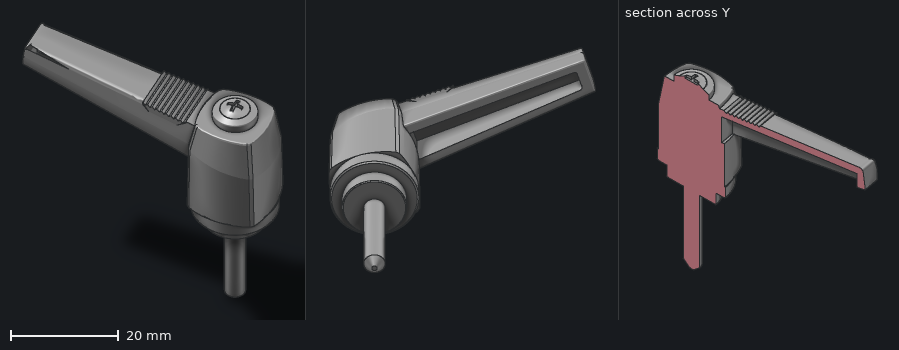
import cadquery as cq
import math

OVERLAP = 0.5

STUD_D, STUD_LENGTH = 4.0, 20.0
STUD_TIP_D = 1.0
SPACER_D, SPACER_HEIGHT = 12.0, 3.0
SPACER_CHAMFER = 0.2
FLANGE_D, FLANGE_HEIGHT = 16.5, 3.0
FLANGE_CHAMFER = 0.3

HUB_BASE_Z = SPACER_HEIGHT + FLANGE_HEIGHT
PARTING_Z, PARTING_TILT = 19.25, 12.1
HUB_TOP_Z, HUB_TOP_TILT = 25.85, 1.9
HUB_TOP_FILLET = 0.5
HUB_BASE = dict(bulge=(8.05, FLANGE_D / 2), corner_y=(6.25, 6.95), corner_x=(6.85, 6.4))
HUB_PARTING = dict(bulge=(8.0, FLANGE_D / 2), corner_y=(6.05, 6.9), corner_x=(6.6, 6.3))
HUB_TOP = dict(bulge=(6.6, 6.6), corner_y=(5.1, 5.8), corner_x=(5.7, 5.2))

CAP_D, CAP_RIM_Z, CAP_CONE_Z = 8.5, 27.3, 27.9
CAP_EDGE_RADIUS = 0.3
SCREW_HOLE_D, SCREW_HEAD_D = 5.7, 5.6
SCREW_GAP_DEPTH = 0.4
SCREW_TOP_Z = 28.92
CROSS_LENGTH, CROSS_WIDTH, CROSS_DEPTH = 3.0, 0.65, 0.8

HANDLE_TOP_Z, HANDLE_TOP_TILT = 24.23, 9.13
HANDLE_BOTTOM_Z, HANDLE_BOTTOM_TILT = 15.05, 14.2
HANDLE_ROOT_X = -5.0
HANDLE_REACH = 41.93
HANDLE_END_LEAN = 0.65
HANDLE_END_X = -HANDLE_REACH
HANDLE_END_TOP_X = HANDLE_END_X + HANDLE_END_LEAN
TOP_HALF_WIDTHS = (3.55, 4.85)
PARTING_HALF_WIDTHS = (3.95, 5.6)
BOTTOM_HALF_WIDTHS = (3.65, 5.15)
HANDLE_END_FILLET = 0.4
HANDLE_TOP_FILLET = 0.9
HANDLE_BOTTOM_FILLET = 0.4

CHANNEL_START_X = -39.8
CHANNEL_BACK_X = -7.3
CHANNEL_START_HALF_WIDTH, CHANNEL_BACK_HALF_WIDTH = 2.05, 3.05
CHANNEL_CORNER_RADIUS = 0.6
ROOF_THICKNESS = 2.0

TOOTH_COUNT, TOOTH_PITCH, TOOTH_HEIGHT = 8, 0.98, 0.5
PAD_START_X = -16.7
PAD_END_X = -7.7
FIRST_VALLEY_X = -16.2
PAD_SIDE_HEIGHT = 1.7
PAD_START_RUN, PAD_START_DROP = 1.25, 0.5
PAD_END_RUN = 1.9
PAD_START_HALF_WIDTH, PAD_END_HALF_WIDTH = 4.7, 5.02


def height_on_plane(x, axis_z, tilt):
    """Height at x of a plane that crosses the stud axis at axis_z and falls towards +X."""
    return axis_z - x * math.tan(math.radians(tilt))


def handle_top(x):
    return height_on_plane(x, HANDLE_TOP_Z, HANDLE_TOP_TILT)


def handle_bottom(x):
    return height_on_plane(x, HANDLE_BOTTOM_Z, HANDLE_BOTTOM_TILT)


def hub_section(size, axis_z, tilt):
    """Closed outline of four bulged sides and four corner bevels on a tilted plane."""
    def point(x, y):
        return cq.Vector(x, y, height_on_plane(x, axis_z, tilt))

    bulge_x, bulge_y = size["bulge"]
    ax, ay = size["corner_y"]
    bx, by = size["corner_x"]
    right = (point(bx, -by), point(bulge_x, 0), point(bx, by))
    back = (point(ax, ay), point(0, bulge_y), point(-ax, ay))
    left = (point(-bx, by), point(-bulge_x, 0), point(-bx, -by))
    front = (point(-ax, -ay), point(0, -bulge_y), point(ax, -ay))
    sides = [right, back, left, front]
    edges = []
    for i, side in enumerate(sides):
        next_side = sides[(i + 1) % len(sides)]
        edges.append(cq.Edge.makeThreePointArc(*side))
        edges.append(cq.Edge.makeLine(side[2], next_side[0]))
    return cq.Wire.assembleEdges(edges)


def make_hub():
    sections = [
        hub_section(HUB_BASE, HUB_BASE_Z, 0),
        hub_section(HUB_PARTING, PARTING_Z, PARTING_TILT),
        hub_section(HUB_TOP, HUB_TOP_Z, HUB_TOP_TILT),
    ]
    hub = cq.Workplane(cq.Solid.makeLoft(sections, True))
    return hub.faces(">Z").edges().fillet(HUB_TOP_FILLET)


def make_base():
    """Flange, spacer ring and stud with its pointed tip."""
    flange = (
        cq.Workplane().workplane(offset=SPACER_HEIGHT)
        .circle(FLANGE_D / 2).extrude(FLANGE_HEIGHT)
        .faces("<Z").edges().chamfer(FLANGE_CHAMFER)
    )
    spacer = (
        cq.Workplane().circle(SPACER_D / 2).extrude(SPACER_HEIGHT)
        .faces("<Z").edges().chamfer(SPACER_CHAMFER)
    )
    stud = (
        cq.Workplane().workplane(offset=OVERLAP)
        .circle(STUD_D / 2).extrude(-STUD_LENGTH - OVERLAP)
        .faces("<Z").edges().chamfer((STUD_D - STUD_TIP_D) / 2)
    )
    return flange.union(spacer).union(stud)


def make_cap():
    """Conical cap with the domed cross-head screw set into it."""
    bottom_z = HUB_TOP_Z - OVERLAP
    seat_z = CAP_CONE_Z - SCREW_GAP_DEPTH
    hole_r = SCREW_HOLE_D / 2
    head_r = SCREW_HEAD_D / 2
    dome_height = SCREW_TOP_Z - CAP_CONE_Z
    dome_r = (head_r ** 2 + dome_height ** 2) / (2 * dome_height)
    arc_mid_r = head_r / 2
    arc_mid_z = SCREW_TOP_Z - dome_r + math.sqrt(dome_r ** 2 - arc_mid_r ** 2)
    cap = (
        cq.Workplane("XZ")
        .moveTo(0, bottom_z).lineTo(CAP_D / 2, bottom_z).lineTo(CAP_D / 2, CAP_RIM_Z)
        .lineTo(hole_r, CAP_CONE_Z).lineTo(hole_r, seat_z)
        .lineTo(head_r, seat_z).lineTo(head_r, CAP_CONE_Z)
        .threePointArc((arc_mid_r, arc_mid_z), (0, SCREW_TOP_Z)).close()
        .revolve(360, (0, 0, 0), (0, 1, 0))
    )
    rim_edge = cap.edges(cq.selectors.NearestToPointSelector((0, 0, CAP_RIM_Z)))
    cap = rim_edge.fillet(CAP_EDGE_RADIUS)
    cross = (
        cq.Workplane().workplane(offset=SCREW_TOP_Z)
        .rect(CROSS_LENGTH, CROSS_WIDTH).extrude(-CROSS_DEPTH)
        .union(
            cq.Workplane().workplane(offset=SCREW_TOP_Z)
            .rect(CROSS_WIDTH, CROSS_LENGTH).extrude(-CROSS_DEPTH)
        )
    )
    return cap.cut(cross)


def handle_section(half_widths, axis_z, tilt):
    """Trapezoid on a tilted plane that widens to the hub and starts beyond the free end."""
    start_x = HANDLE_END_X - OVERLAP
    end_half, root_half = half_widths
    widening = (root_half - end_half) / (HANDLE_ROOT_X - HANDLE_END_X)
    start_half = end_half - OVERLAP * widening
    start_z = height_on_plane(start_x, axis_z, tilt)
    root_z = height_on_plane(HANDLE_ROOT_X, axis_z, tilt)
    corners = [
        cq.Vector(start_x, -start_half, start_z),
        cq.Vector(HANDLE_ROOT_X, -root_half, root_z),
        cq.Vector(HANDLE_ROOT_X, root_half, root_z),
        cq.Vector(start_x, start_half, start_z),
    ]
    return cq.Wire.makePolygon(corners, close=True)


def side_prism(points):
    """Prism across the full width of the part from an outline in X and Z."""
    return cq.Workplane("XZ").polyline(points).close().extrude(FLANGE_D / 2, both=True)


def sharp_handle():
    """Handle with flanks drafted both ways from the parting plane and a leaning end face."""
    sections = [
        handle_section(BOTTOM_HALF_WIDTHS, HANDLE_BOTTOM_Z, HANDLE_BOTTOM_TILT),
        handle_section(PARTING_HALF_WIDTHS, PARTING_Z, PARTING_TILT),
        handle_section(TOP_HALF_WIDTHS, HANDLE_TOP_Z, HANDLE_TOP_TILT),
    ]
    body = cq.Workplane(cq.Solid.makeLoft(sections, True))
    end_bottom = (HANDLE_END_X, handle_bottom(HANDLE_END_X))
    end_top = (HANDLE_END_TOP_X, handle_top(HANDLE_END_TOP_X))
    end_trim = side_prism([
        end_bottom,
        end_top,
        (HANDLE_ROOT_X, end_top[1]),
        (HANDLE_ROOT_X, handle_bottom(HANDLE_ROOT_X)),
    ])
    return body.intersect(end_trim)


def rounded_handle(round_top):
    """Handle with rounded end corners, lower rim and optionally upper rim; root end square."""
    up = math.radians(HANDLE_TOP_TILT)
    down = math.radians(HANDLE_BOTTOM_TILT)
    top_face = cq.selectors.DirectionMinMaxSelector(cq.Vector(math.sin(up), 0, math.cos(up)))
    bottom_face = cq.selectors.DirectionMinMaxSelector(cq.Vector(-math.sin(down), 0, -math.cos(down)))
    handle = sharp_handle()
    if round_top:
        handle = handle.faces(top_face).edges("not(>X)").fillet(HANDLE_TOP_FILLET)
        handle = handle.faces("<X").edges("not |Y").fillet(HANDLE_END_FILLET)
    return handle.faces(bottom_face).edges("not(>X)").fillet(HANDLE_BOTTOM_FILLET)


def pad_block():
    """Slightly wider block that raises the flanks beside the teeth."""
    low_start_x = PAD_START_X + PAD_START_RUN
    low_end_x = PAD_END_X - PAD_END_RUN
    outline = side_prism([
        (PAD_START_X, handle_top(PAD_START_X)),
        (PAD_START_X, handle_top(PAD_START_X) - PAD_START_DROP),
        (low_start_x, handle_top(low_start_x) - PAD_SIDE_HEIGHT),
        (low_end_x, handle_top(low_end_x) - PAD_SIDE_HEIGHT),
        (PAD_END_X, handle_top(PAD_END_X)),
    ])
    return (
        cq.Workplane()
        .polyline([
            (PAD_START_X, -PAD_START_HALF_WIDTH),
            (PAD_END_X, -PAD_END_HALF_WIDTH),
            (PAD_END_X, PAD_END_HALF_WIDTH),
            (PAD_START_X, PAD_START_HALF_WIDTH),
        ]).close()
        .extrude(handle_top(HANDLE_END_X))
        .intersect(outline)
    )


def serration():
    """Row of V grooves cut across the pad, leaving pointed teeth level with the handle top."""
    first_x = FIRST_VALLEY_X - TOOTH_PITCH / 2
    points = [(first_x, handle_top(first_x))]
    for i in range(TOOTH_COUNT + 1):
        valley_x = FIRST_VALLEY_X + i * TOOTH_PITCH
        peak_x = valley_x + TOOTH_PITCH / 2
        points.append((valley_x, handle_top(valley_x) - TOOTH_HEIGHT))
        points.append((peak_x, handle_top(peak_x)))
    last_x = points[-1][0]
    points.append((last_x, handle_top(last_x) + TOOTH_HEIGHT))
    points.append((first_x, handle_top(first_x) + TOOTH_HEIGHT))
    return side_prism(points)


def channel():
    """Tapered pocket, open below, under a roof parallel to the handle top."""
    plan = (
        cq.Workplane()
        .polyline([
            (CHANNEL_START_X, -CHANNEL_START_HALF_WIDTH),
            (CHANNEL_BACK_X, -CHANNEL_BACK_HALF_WIDTH),
            (CHANNEL_BACK_X, CHANNEL_BACK_HALF_WIDTH),
            (CHANNEL_START_X, CHANNEL_START_HALF_WIDTH),
        ]).close()
        .extrude(handle_top(HANDLE_END_X))
        .edges("|Z and <X").fillet(CHANNEL_CORNER_RADIUS)
    )
    below_roof = side_prism([
        (HANDLE_END_X, handle_bottom(HANDLE_END_X)),
        (CHANNEL_BACK_X, handle_bottom(CHANNEL_BACK_X)),
        (CHANNEL_BACK_X, handle_top(CHANNEL_BACK_X) - ROOF_THICKNESS),
        (HANDLE_END_X, handle_top(HANDLE_END_X) - ROOF_THICKNESS),
    ])
    return plan.intersect(below_roof)


def make_handle():
    """Arm with a rounded upper rim that turns square-edged at the thumb pad."""
    hub_side = side_prism([
        (PAD_START_X, 0),
        (HANDLE_ROOT_X + OVERLAP, 0),
        (HANDLE_ROOT_X + OVERLAP, handle_top(HANDLE_END_X)),
        (PAD_START_X, handle_top(HANDLE_END_X)),
    ])
    square_edged = rounded_handle(round_top=False)
    rounding_waste = square_edged.cut(rounded_handle(round_top=True)).cut(hub_side)
    return square_edged.cut(rounding_waste).union(pad_block()).cut(serration())


result = (
    make_base()
    .union(make_hub())
    .union(make_cap())
    .union(make_handle())
    .cut(channel())
)